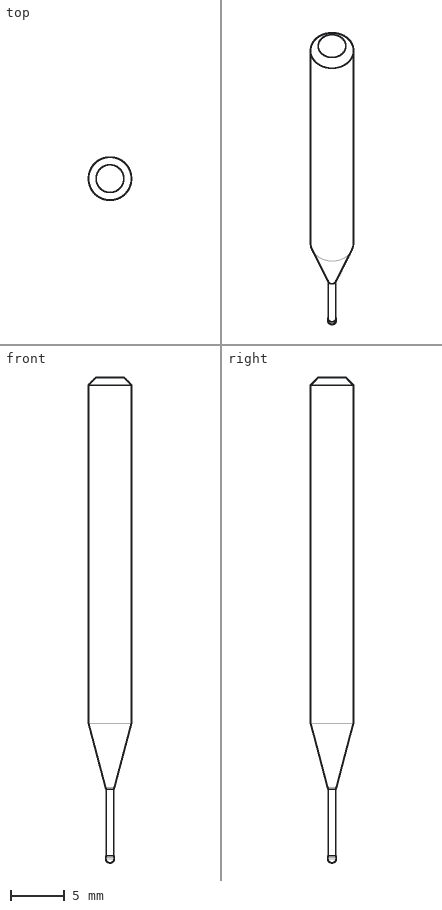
import cadquery as cq
import math

overall_length = 45.0
shank_diameter = 4.0
shank_chamfer = 0.7
shank_bottom_z = 12.95
taper_bottom_z = 7.0
taper_end_radius = 0.428
shoulder_height = 0.2
neck_radius = 0.35
ball_radius = 0.4
head_length = 0.68
head_relief_height = 0.15

shank_radius = shank_diameter / 2
head_rim_z = head_length - head_relief_height


def make_holder():
    """Chamfered shank, taper and slender neck, turned as one body."""
    return (
        cq.Workplane("XZ")
        .moveTo(0, head_length)
        .lineTo(neck_radius, head_length)
        .lineTo(neck_radius, taper_bottom_z - shoulder_height)
        .lineTo(taper_end_radius, taper_bottom_z)
        .lineTo(shank_radius, shank_bottom_z)
        .lineTo(shank_radius, overall_length - shank_chamfer)
        .lineTo(shank_radius - shank_chamfer, overall_length)
        .lineTo(0, overall_length)
        .close()
        .revolve(360, (0, 0, 0), (0, 1, 0))
    )


def make_cutting_head():
    """Ball-nosed head that butts against the end of the neck."""
    arc_mid_offset = ball_radius * math.sqrt(0.5)
    return (
        cq.Workplane("XZ")
        .moveTo(0, 0)
        .threePointArc((arc_mid_offset, ball_radius - arc_mid_offset), (ball_radius, ball_radius))
        .lineTo(ball_radius, head_rim_z)
        .lineTo(neck_radius, head_length)
        .lineTo(0, head_length)
        .close()
        .revolve(360, (0, 0, 0), (0, 1, 0))
    )


holder = make_holder()
cutting_head = make_cutting_head()

result = cq.Compound.makeCompound([holder.val(), cutting_head.val()])